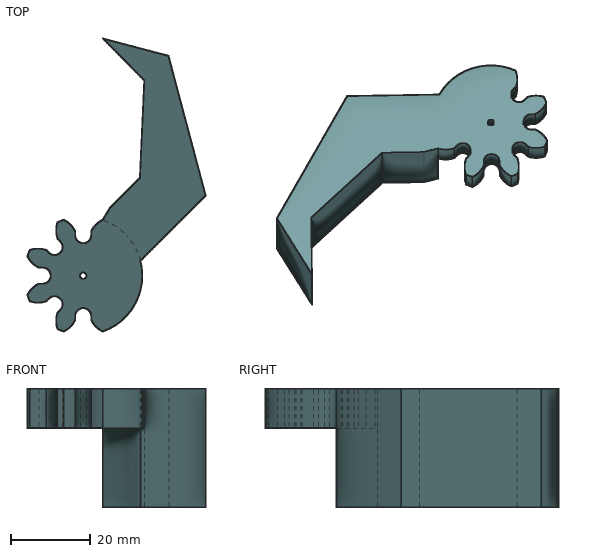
import cadquery as cq
import math

tooth_pitch = 360 / 8
gap_angles = [90 + i * tooth_pitch for i in range(5)]
outer_radius = 15.0
root_radius = 8.2
gap_half_width = 2.0
flank_start = 11.2
flank_middle = (12.9, 3.2)
gap_half_angle = 19.2
hole_diameter = 1.55

total_height = 30.0
gear_thickness = total_height / 3

heel_corner = (19.6, 5.1)
elbow_corner = (31.0, 20.25)
back_corner = (21.6, 55.6)
arm_tip = (5.0, 60.0)
inner_bend = (15.4, 49.4)
inner_elbow = (14.3, 24.8)
inner_heel = (6.9, 17.35)


def polar(radius, angle):
    """Point at the given radius and angle in degrees about the gear axis."""
    return (radius * math.cos(math.radians(angle)), radius * math.sin(math.radians(angle)))


def tooth_gap(angle):
    """Cutter for one round-bottomed gap with curved, widening flanks."""
    tip_x, tip_y = polar(outer_radius, gap_half_angle)
    mid_x, mid_y = flank_middle
    beyond_rim = outer_radius + 0.75
    round_center = root_radius + gap_half_width
    profile = (
        cq.Workplane("XY")
        .moveTo(round_center, -gap_half_width)
        .threePointArc((root_radius, 0), (round_center, gap_half_width))
        .lineTo(flank_start, gap_half_width)
        .threePointArc((mid_x, mid_y), (tip_x, tip_y))
        .lineTo(beyond_rim, tip_y)
        .lineTo(beyond_rim, -tip_y)
        .lineTo(tip_x, -tip_y)
        .threePointArc((mid_x, -mid_y), (flank_start, -gap_half_width))
        .close()
    )
    return profile.extrude(total_height).rotate((0, 0, 0), (0, 0, 1), angle)


def make_gear():
    """Partly toothed disc at the top of the part."""
    gear = (
        cq.Workplane("XY", origin=(0, 0, total_height - gear_thickness))
        .circle(outer_radius)
        .extrude(gear_thickness)
    )
    for angle in gap_angles:
        gear = gear.cut(tooth_gap(angle))
    return gear


def make_arm():
    """Full-height hooked arm whose concave end follows the gear rim."""
    first_tooth_tip = polar(outer_radius, gap_angles[0] - gap_half_angle)
    heel_angle = math.degrees(math.atan2(heel_corner[1], heel_corner[0]))
    rim_start = polar(outer_radius, heel_angle)
    rim_middle = polar(outer_radius, (heel_angle + gap_angles[0] - gap_half_angle) / 2)
    return (
        cq.Workplane("XY")
        .moveTo(*rim_start)
        .lineTo(*elbow_corner)
        .lineTo(*back_corner)
        .lineTo(*arm_tip)
        .lineTo(*inner_bend)
        .lineTo(*inner_elbow)
        .lineTo(*inner_heel)
        .lineTo(*first_tooth_tip)
        .threePointArc(rim_middle, rim_start)
        .close()
        .extrude(total_height)
    )


axle_hole = cq.Workplane("XY").circle(hole_diameter / 2).extrude(total_height)

result = make_gear().union(make_arm()).cut(axle_hole)